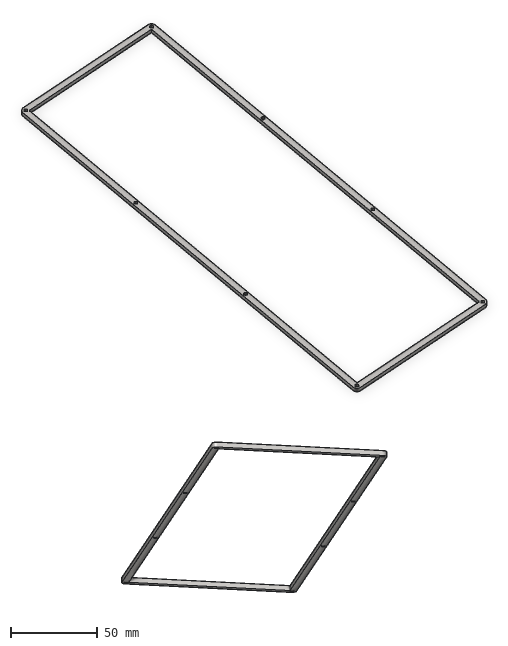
import cadquery as cq

length = 293.75
width = 103.25
thickness = 3.0

bar_width = 4.0
corner_radius = 3.0

hole_diameter = 2.2
corner_hole_inset = 2.5
middle_hole_spacing = 95.75
middle_hole_inset = bar_width / 2


def make_frame():
    """Flat ring with rounded outer corners and a sharp-cornered opening."""
    plate = cq.Workplane("XY").rect(length, width).extrude(thickness)
    plate = plate.edges("|Z").fillet(corner_radius)
    opening = (
        cq.Workplane("XY")
        .rect(length - 2 * bar_width, width - 2 * bar_width)
        .extrude(thickness)
    )
    return plate.cut(opening)


def make_hole_pins(spacing_x, spacing_y):
    """Four cylinders on the corners of a centred rectangle, for cutting holes."""
    return (
        cq.Workplane("XY")
        .rect(spacing_x, spacing_y, forConstruction=True)
        .vertices()
        .circle(hole_diameter / 2)
        .extrude(thickness)
    )


corner_pins = make_hole_pins(length - 2 * corner_hole_inset, width - 2 * corner_hole_inset)
middle_pins = make_hole_pins(middle_hole_spacing, width - 2 * middle_hole_inset)

result = make_frame().cut(corner_pins).cut(middle_pins)